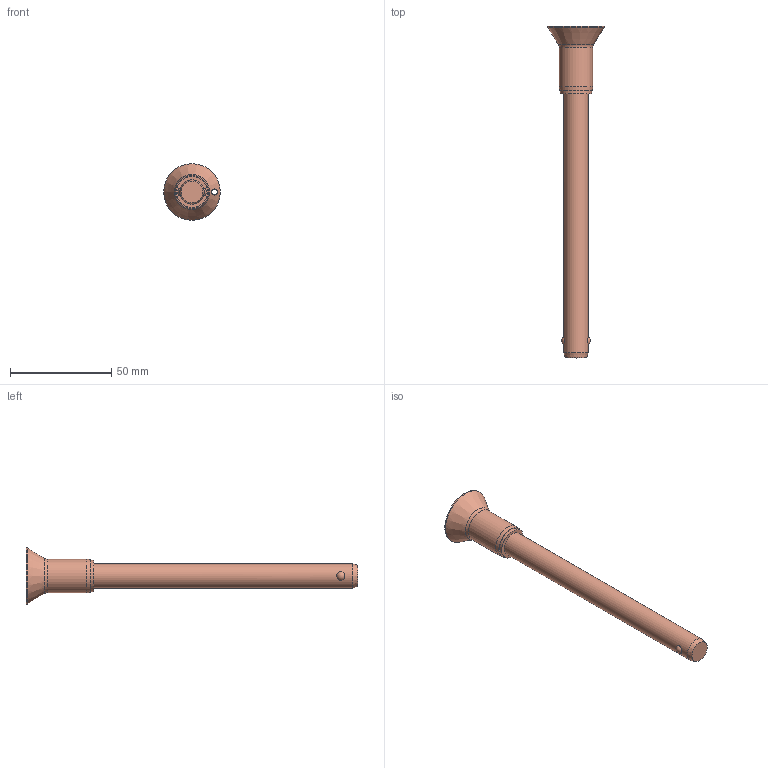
import cadquery as cq
import math

OVERALL_LENGTH = 164.1

BUTTON_DIAMETER = 28.0
RIM_THICKNESS = 0.5
SLEEVE_DIAMETER = 16.5
FLARE_ANGLE = 31.5
FLARE_BLEND_RADIUS = 3.0
SLEEVE_END_TAPER = 2.0
SLEEVE_END_DIAMETER = 16.2
COLLAR_DIAMETER = 15.4
COLLAR_LENGTH = 1.5
HEAD_LENGTH = 33.4

SHAFT_DIAMETER = 12.0
TIP_LENGTH = 2.5
TIP_ANGLE = 15.0

BALL_RADIUS = 2.25
BALL_SPREAD = 14.2
BALL_TO_TIP = 8.5

LANYARD_HOLE_DIAMETER = 3.0
LANYARD_HOLE_OFFSET = 11.1

tip_y = HEAD_LENGTH - OVERALL_LENGTH


def make_pin():
    """Button, sleeve, collar, shaft and tip as one revolved profile (radius, Y)."""
    button_radius = BUTTON_DIAMETER / 2
    sleeve_radius = SLEEVE_DIAMETER / 2
    collar_radius = COLLAR_DIAMETER / 2
    shaft_radius = SHAFT_DIAMETER / 2
    flare = math.radians(FLARE_ANGLE)

    rim_y = HEAD_LENGTH - RIM_THICKNESS
    corner_y = rim_y - (button_radius - sleeve_radius) / math.tan(flare)
    setback = FLARE_BLEND_RADIUS * math.tan(flare / 2)
    flare_end = (sleeve_radius + setback * math.sin(flare), corner_y + setback * math.cos(flare))
    blend_middle = (
        sleeve_radius + FLARE_BLEND_RADIUS * (1 - math.cos(flare / 2)),
        corner_y - setback + FLARE_BLEND_RADIUS * math.sin(flare / 2),
    )
    sleeve_top = (sleeve_radius, corner_y - setback)
    tip_radius = shaft_radius - TIP_LENGTH * math.tan(math.radians(TIP_ANGLE))

    return (
        cq.Workplane("XY")
        .moveTo(0, HEAD_LENGTH)
        .lineTo(button_radius, HEAD_LENGTH)
        .lineTo(button_radius, rim_y)
        .lineTo(*flare_end)
        .threePointArc(blend_middle, sleeve_top)
        .lineTo(sleeve_radius, COLLAR_LENGTH + SLEEVE_END_TAPER)
        .lineTo(SLEEVE_END_DIAMETER / 2, COLLAR_LENGTH)
        .lineTo(collar_radius, COLLAR_LENGTH)
        .lineTo(collar_radius, 0)
        .lineTo(shaft_radius, 0)
        .lineTo(shaft_radius, tip_y + TIP_LENGTH)
        .lineTo(tip_radius, tip_y)
        .lineTo(0, tip_y)
        .close()
        .revolve(360, (0, 0, 0), (0, 1, 0))
    )


def make_ball(side):
    """Locking ball on the +X (side = 1) or -X (side = -1) flank of the shaft."""
    center_x = side * (BALL_SPREAD / 2 - BALL_RADIUS)
    return cq.Workplane("XY").sphere(BALL_RADIUS).translate((center_x, tip_y + BALL_TO_TIP, 0))


def make_lanyard_hole():
    """Drill along Y through the flare, reaching from the grip face to the button face."""
    return (
        cq.Workplane("XZ")
        .center(LANYARD_HOLE_OFFSET, 0)
        .circle(LANYARD_HOLE_DIAMETER / 2)
        .extrude(-HEAD_LENGTH)
    )


result = make_pin()
for side in (-1, 1):
    result = result.union(make_ball(side))
result = result.cut(make_lanyard_hole())